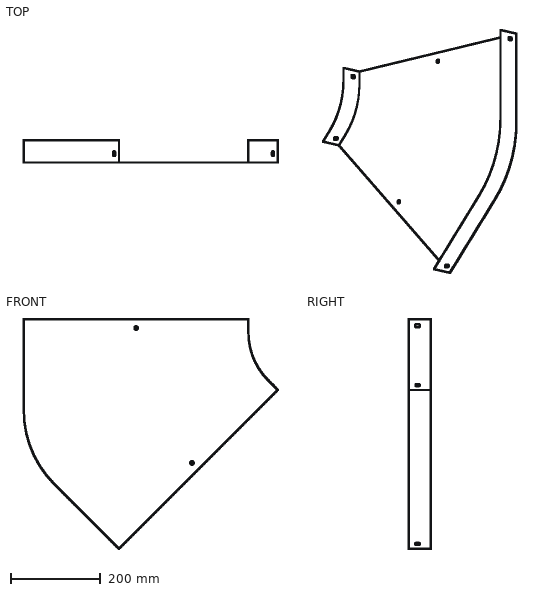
import cadquery as cq
import math

SHEET = 0.8
FLANGE_DEPTH = 50.0
TRAY_WIDTH = 500.0
BEND_ANGLE = 45.0

INNER_RADIUS = 150.0
INNER_STRAIGHT = 30.0
OUTER_RADIUS = 230.0

HOLE_DIAMETER = 7.0
HOLE_FROM_END = 20.0
SLOT_LENGTH = 10.0
SLOT_WIDTH = 7.0
SLOT_FROM_END = 15.0
SLOT_FROM_FACE = 20.0

HALF_TANGENT = math.tan(math.radians(BEND_ANGLE / 2))
INNER_TANGENT = INNER_STRAIGHT + INNER_RADIUS * HALF_TANGENT
OUTER_TANGENT = INNER_TANGENT + TRAY_WIDTH * HALF_TANGENT
OUTER_STRAIGHT = OUTER_TANGENT - OUTER_RADIUS * HALF_TANGENT
BEND_CENTRE_X = OUTER_TANGENT / HALF_TANGENT


def bend_points(x, straight, radius):
    """(x, z) points of an edge: start, arc start, arc middle, arc end, end."""

    def on_arc(degrees):
        angle = math.radians(degrees)
        return (x + radius * (1 - math.cos(angle)), -straight - radius * math.sin(angle))

    bend = math.radians(BEND_ANGLE)
    arc_end = on_arc(BEND_ANGLE)
    end = (arc_end[0] + straight * math.sin(bend), arc_end[1] - straight * math.cos(bend))
    return (x, 0), on_arc(0), on_arc(BEND_ANGLE / 2), arc_end, end


def bent_strip(left_edge, right_edge, depth):
    """Solid between two bent edges, running from y = 0 to y = depth."""
    left_start, left_arc, left_middle, left_arc_end, left_end = left_edge
    right_start, right_arc, right_middle, right_arc_end, right_end = right_edge
    return (
        cq.Workplane("XZ")
        .moveTo(*left_start)
        .lineTo(*left_arc)
        .threePointArc(left_middle, left_arc_end)
        .lineTo(*left_end)
        .lineTo(*right_end)
        .lineTo(*right_arc_end)
        .threePointArc(right_middle, right_arc)
        .lineTo(*right_start)
        .close()
        .extrude(-depth)
    )


def at_second_end(tool):
    """Copy of a tool carried from the top end to the other end of the bend."""
    return tool.mirror("XY").rotate((BEND_CENTRE_X, 0, 0), (BEND_CENTRE_X, 1, 0), -BEND_ANGLE)


def plate_hole():
    """Round hole through the plate at the middle of the top end."""
    return (
        cq.Workplane("XZ")
        .center(TRAY_WIDTH / 2, -HOLE_FROM_END)
        .circle(HOLE_DIAMETER / 2)
        .extrude(-SHEET)
    )


def flange_slot(x):
    """Slot along Y through the flange sheet lying between x and x + SHEET."""
    return (
        cq.Workplane("YZ", origin=(x, 0, 0))
        .center(SLOT_FROM_FACE, -SLOT_FROM_END)
        .slot2D(SLOT_LENGTH, SLOT_WIDTH)
        .extrude(SHEET)
    )


inner_flange_x = TRAY_WIDTH - SHEET

outer_edge = bend_points(0, OUTER_STRAIGHT, OUTER_RADIUS)
outer_flange_inside = bend_points(SHEET, OUTER_STRAIGHT, OUTER_RADIUS - SHEET)
inner_flange_inside = bend_points(inner_flange_x, INNER_STRAIGHT, INNER_RADIUS + SHEET)
inner_edge = bend_points(TRAY_WIDTH, INNER_STRAIGHT, INNER_RADIUS)

plate = bent_strip(outer_edge, inner_edge, SHEET)
outer_flange = bent_strip(outer_edge, outer_flange_inside, FLANGE_DEPTH)
inner_flange = bent_strip(inner_flange_inside, inner_edge, FLANGE_DEPTH)

result = plate.union(outer_flange).union(inner_flange)
for cutter in (plate_hole(), flange_slot(0), flange_slot(inner_flange_x)):
    result = result.cut(cutter).cut(at_second_end(cutter))